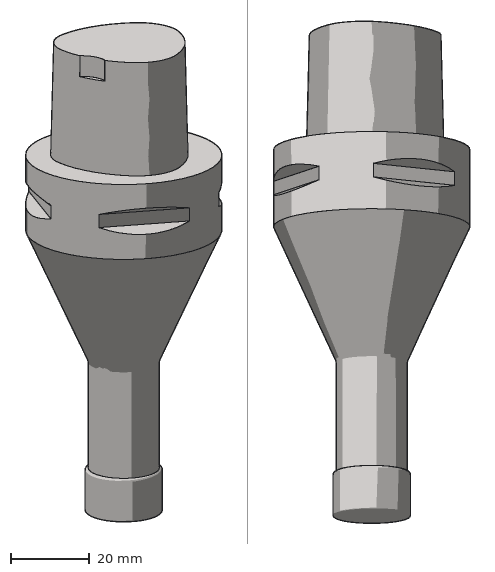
import cadquery as cq
import math

total_height = 125.0
head_height = 11.5
cone_bottom = 40.1
flange_bottom = 75.0
flange_top = 95.0

head_diameter = 19.8
head_top_fillet = 0.8
head_bottom_fillet = 0.4
shank_diameter = 18.1
flange_diameter = 50.0
neck_fillet = 1.8

side_distance = 16.4
lobe_distance = 18.6
lobe_radius = 11.8
coupling_inset = 0.8
lobe_count = 3

notch_width = 7.4
notch_back_distance = 14.1
notch_arch_rise = 1.1
notch_depth = 5.5

slot_count = 4
slot_first_angle = 45.0
slot_height = 85.0
slot_floor_width = 3.5
slot_floor_distance = 22.0
slot_wall_angle = 30.0


def polar_point(radius, angle):
    return (radius * math.cos(math.radians(angle)), radius * math.sin(math.radians(angle)))


def make_turned_blank():
    """Shank, cone and flange, turned about Z."""
    shank_radius = shank_diameter / 2
    flange_radius = flange_diameter / 2
    blank = (
        cq.Workplane("XZ")
        .moveTo(0, head_height)
        .lineTo(shank_radius, head_height)
        .lineTo(shank_radius, cone_bottom)
        .lineTo(flange_radius, flange_bottom)
        .lineTo(flange_radius, flange_top)
        .lineTo(0, flange_top)
        .close()
        .revolve(360, (0, 0, 0), (0, 1, 0))
    )
    neck_edge = cq.selectors.NearestToPointSelector((0, 0, cone_bottom))
    return blank.edges("%CIRCLE").edges(neck_edge).fillet(neck_fillet)


def make_coupling():
    """Tapered prism with three lobes, outlined by six tangent arcs."""
    lobe_offset = lobe_distance - lobe_radius
    radius_gap = side_distance - lobe_radius
    side_offset = (lobe_offset**2 - radius_gap**2) / (2 * radius_gap - lobe_offset)
    side_radius = side_distance + side_offset

    lobe_pitch = 360 / lobe_count
    half_pitch = lobe_pitch / 2
    lobe_x, lobe_y = polar_point(lobe_offset, half_pitch)
    joint_angle = math.atan2(lobe_y, lobe_x + side_offset)
    joint_x = side_radius * math.cos(joint_angle) - side_offset
    joint_y = side_radius * math.sin(joint_angle)
    joint_distance = math.hypot(joint_x, joint_y)
    joint_swing = math.degrees(math.atan2(joint_y, joint_x))

    first_side_angle = -90
    outline = cq.Workplane("XY", origin=(0, 0, flange_top)).moveTo(
        *polar_point(joint_distance, first_side_angle - joint_swing)
    )
    for lobe in range(lobe_count):
        side_angle = first_side_angle + lobe * lobe_pitch
        outline = outline.threePointArc(
            polar_point(side_distance, side_angle),
            polar_point(joint_distance, side_angle + joint_swing),
        ).threePointArc(
            polar_point(lobe_distance, side_angle + half_pitch),
            polar_point(joint_distance, side_angle + lobe_pitch - joint_swing),
        )
    height = total_height - flange_top
    taper = math.degrees(math.atan(coupling_inset / height))
    return outline.close().extrude(height, taper=taper)


def make_notch_cutter():
    half_width = notch_width / 2
    back_y = -notch_back_distance
    side_y = back_y - notch_arch_rise
    return (
        cq.Workplane("XY", origin=(0, 0, total_height - notch_depth))
        .moveTo(-half_width, -lobe_distance)
        .lineTo(-half_width, side_y)
        .threePointArc((0, back_y), (half_width, side_y))
        .lineTo(half_width, -lobe_distance)
        .close()
        .extrude(notch_depth)
    )


def make_slot_cutter(angle):
    """Straight slot with a flat floor and walls that open outward."""
    floor_half = slot_floor_width / 2
    slot_depth = flange_diameter / 2 - slot_floor_distance
    mouth_half = floor_half + slot_depth * math.tan(math.radians(slot_wall_angle))
    section = [
        (slot_floor_distance, slot_height - floor_half),
        (flange_diameter / 2, slot_height - mouth_half),
        (flange_diameter / 2, slot_height + mouth_half),
        (slot_floor_distance, slot_height + floor_half),
    ]
    cutter = cq.Workplane("XZ").polyline(section).close().extrude(flange_diameter / 2, both=True)
    return cutter.rotate((0, 0, 0), (0, 0, 1), angle)


def make_holder():
    holder = make_turned_blank().union(make_coupling()).cut(make_notch_cutter())
    for slot in range(slot_count):
        holder = holder.cut(make_slot_cutter(slot_first_angle + slot * 360 / slot_count))
    return holder


def make_head():
    """Cutting head, a rounded disc against the end of the shank."""
    return (
        cq.Workplane("XY")
        .circle(head_diameter / 2)
        .extrude(head_height)
        .edges(">Z")
        .fillet(head_top_fillet)
        .edges("<Z")
        .fillet(head_bottom_fillet)
    )


holder = make_holder()
head = make_head()

result = cq.Compound.makeCompound([holder.solids().val(), head.val()])